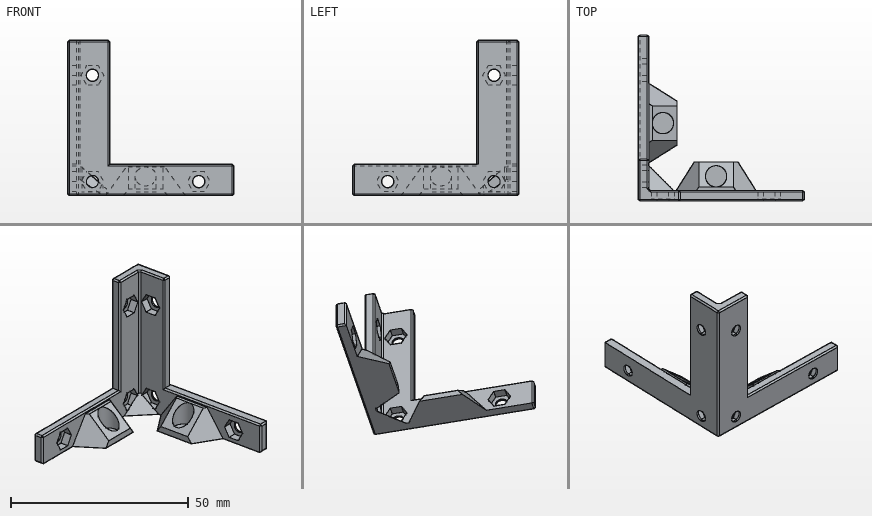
import cadquery as cq
import math

LENGTH = 46.9
HEIGHT = 43.9
WALL = 3.0
EDGE_CHAMFER = 0.45

POST_WIDTH = 11.9
ARM_HEIGHT = 8.9

SCREW_HOLE_DIAMETER = 3.4
SCREW_SEAT = 0.55
NUT_ACROSS_FLATS = 5.6
SCREW_HOLE_SPACING = 30.0
HOLE_FROM_CORNER = 7.0
HOLE_FROM_BASE = 4.0

BOSS_CENTER = 22.0
BOSS_REACH = 8.0
BOSS_BASE_WIDTH = 22.5
BOSS_LEDGE = 1.0
BOSS_SIDE_TAPER = 0.63
BOSS_TOP_DROP = 0.88
BOSS_HEIGHT = 8.05
POCKET_DIAMETER = 6.0
POCKET_FLOOR = 1.0
POCKET_CENTER = WALL + BOSS_LEDGE + POCKET_DIAMETER / 2

GUSSET_LEG = 7.0
GUSSET_HEIGHT = GUSSET_LEG / math.sqrt(2)

SWAP_X_AND_Y = (1, -1, 0)

TOLERANCE = 0.005


def l_plate():
    """L-shaped plate in the XZ plane, its outer face on Y = 0."""
    outline = [
        (0, 0),
        (LENGTH, 0),
        (LENGTH, ARM_HEIGHT),
        (POST_WIDTH, ARM_HEIGHT),
        (POST_WIDTH, HEIGHT),
        (0, HEIGHT),
    ]
    return cq.Workplane("XZ").polyline(outline).close().extrude(-WALL)


def is_chamfered(edge):
    """True for the edges of the two joined plates that carry a chamfer."""
    center = edge.Center()
    on_outer_face = min(center.x, center.y) < TOLERANCE
    at_base = center.z < TOLERANCE
    on_arm_top = abs(center.z - ARM_HEIGHT) < TOLERANCE
    at_arm_end = max(center.x, center.y) > LENGTH - TOLERANCE
    at_inner_bend = on_arm_top and max(center.x, center.y) < POST_WIDTH + TOLERANCE
    plain_outer_arm_top = on_arm_top and center.x < TOLERANCE
    inner_base = at_base and not on_outer_face and not at_arm_end
    return not (at_inner_bend or plain_outer_arm_top or inner_base)


def joined_walls():
    """Both plates joined along the vertical corner, with chamfered edges."""
    walls = l_plate().union(l_plate().mirror(SWAP_X_AND_Y))
    edges = [edge for edge in walls.edges().vals() if is_chamfered(edge)]
    return walls.newObject(edges).chamfer(EDGE_CHAMFER)


def screw_openings():
    """Screw holes through one wall with hexagonal nut pockets open to its inner side."""
    centers = [
        (HOLE_FROM_CORNER, HOLE_FROM_BASE),
        (HOLE_FROM_CORNER + SCREW_HOLE_SPACING, HOLE_FROM_BASE),
        (HOLE_FROM_CORNER, HOLE_FROM_BASE + SCREW_HOLE_SPACING),
    ]
    holes = cq.Workplane("XZ").pushPoints(centers).circle(SCREW_HOLE_DIAMETER / 2).extrude(-WALL)
    nut_pockets = (
        cq.Workplane("XZ", origin=(0, SCREW_SEAT, 0))
        .pushPoints(centers)
        .polygon(6, NUT_ACROSS_FLATS / math.cos(math.pi / 6))
        .extrude(SCREW_SEAT - WALL)
    )
    return holes.union(nut_pockets)


def boss():
    """Boss behind the arm: sloped top, tapered ends, blind vertical pocket."""
    top = BOSS_HEIGHT
    tip = WALL + BOSS_REACH
    tip_height = top - BOSS_TOP_DROP * (BOSS_REACH - BOSS_LEDGE)
    profile = [
        (WALL, 0),
        (tip, 0),
        (tip, tip_height),
        (WALL + BOSS_LEDGE, top),
        (WALL, top),
    ]
    block = (
        cq.Workplane("YZ", origin=(BOSS_CENTER, 0, 0))
        .polyline(profile)
        .close()
        .extrude(BOSS_BASE_WIDTH / 2, both=True)
    )
    for side in (-1, 1):
        foot = (BOSS_CENTER + side * BOSS_BASE_WIDTH / 2, WALL, 0)
        outward = (side, BOSS_SIDE_TAPER, BOSS_SIDE_TAPER / BOSS_TOP_DROP)
        end_plane = cq.Plane(origin=foot, xDir=(0, 1, -BOSS_TOP_DROP), normal=outward)
        beyond_end = cq.Workplane(end_plane).rect(2 * LENGTH, 2 * LENGTH).extrude(LENGTH)
        block = block.cut(beyond_end)
    pocket = (
        cq.Workplane("XY", origin=(BOSS_CENTER, POCKET_CENTER, POCKET_FLOOR))
        .circle(POCKET_DIAMETER / 2)
        .extrude(top)
    )
    return block.cut(pocket)


def gusset():
    """Three-sided pyramid filling the inner corner at the base."""
    corner = (WALL, WALL, 0)
    foot_x = (WALL + GUSSET_LEG, WALL, 0)
    foot_y = (WALL, WALL + GUSSET_LEG, 0)
    peak = (WALL, WALL, GUSSET_HEIGHT)
    triangles = [
        (corner, foot_y, foot_x),
        (corner, foot_x, peak),
        (corner, peak, foot_y),
        (foot_x, foot_y, peak),
    ]
    faces = [
        cq.Face.makeFromWires(cq.Wire.makePolygon([cq.Vector(*p) for p in t], close=True))
        for t in triangles
    ]
    return cq.Workplane(cq.Solid.makeSolid(cq.Shell.makeShell(faces)))


openings = screw_openings()
arm_boss = boss()

result = (
    joined_walls()
    .cut(openings)
    .cut(openings.mirror(SWAP_X_AND_Y))
    .union(arm_boss)
    .union(arm_boss.mirror(SWAP_X_AND_Y))
    .union(gusset())
)